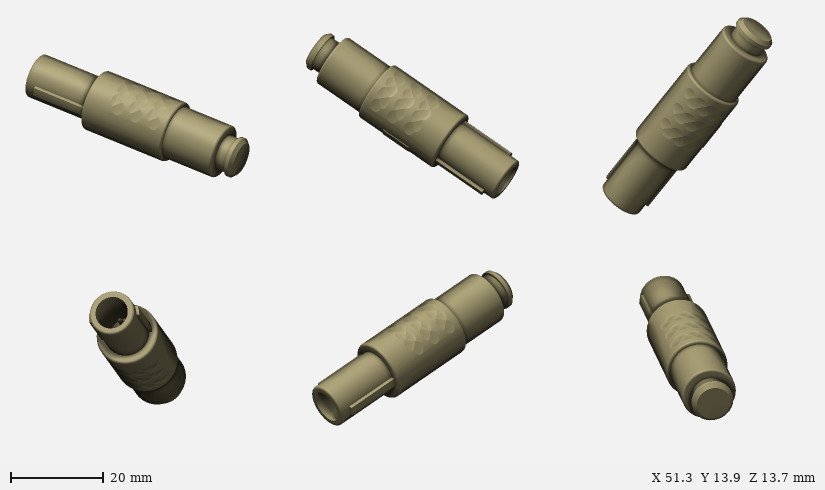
import cadquery as cq

total_length = 51.3
edge_fillet = 0.5

nose_radius = 5.0
nose_length = 15.05
sleeve_diameter = 13.7
sleeve_radius = sleeve_diameter / 2
sleeve_length = 19.95
rear_radius = 6.0
rear_length = 12.0
neck_radius = 3.95
flange_radius = 4.55
flange_width = 1.7
flange_chamfer = 0.8

bore_radius = 3.6
bore_depth = nose_length
pin_radius = 0.5
pin_length = 5.15
pin_count = 5
pin_circle_radius = 1.7

key_start = 2.5
key_width = 2.0
key_radius = 5.6

dimple_radius = 4.65
dimple_depth = 0.175
dimple_pitch_angle = 26.0
dimple_first_x = 22.0
dimple_column_offset = 1.0
dimple_group_pitch = 4.5
dimple_group_count = 3
first_column_count = 3
second_column_count = first_column_count + 1

pad_start = 21.4
pad_length = 6.85
pad_width = 2.7
pad_height = 0.15

sleeve_end = nose_length + sleeve_length
rear_end = sleeve_end + rear_length
flange_start = total_length - flange_width


def cylinder(start, length, radius):
    """Round bar along X."""
    return cq.Workplane("YZ", origin=(start, 0, 0)).circle(radius).extrude(length)


def block(start, length, y_size, z_min, z_max):
    """Box along X that reaches from the axis out to y_size (of either sign)."""
    corner = (start, min(y_size, 0), z_min)
    return cq.Workplane("XY").box(length, abs(y_size), z_max - z_min, centered=False).translate(corner)


def make_body():
    nose = cylinder(0, nose_length, nose_radius).faces("<X").edges().fillet(edge_fillet)
    sleeve = cylinder(nose_length, sleeve_length, sleeve_radius).edges().fillet(edge_fillet)
    rear = cylinder(sleeve_end, rear_length, rear_radius).faces(">X").edges().fillet(edge_fillet)
    neck = cylinder(rear_end, flange_start - rear_end, neck_radius)
    flange = cylinder(flange_start, flange_width, flange_radius).faces(">X").edges().chamfer(flange_chamfer)
    return nose.union(sleeve).union(rear).union(neck).union(flange)


def make_keys():
    """Flat key centred on +Y; key with a round crown on -Y, above the middle plane."""
    length = nose_length - key_start
    flat_key = block(key_start, length, key_radius, -key_width / 2, key_width / 2)
    round_key = block(key_start, length, -key_radius, 0, key_width)
    round_key = round_key.intersect(cylinder(key_start, length, key_radius))
    return flat_key.union(round_key)


def make_pad():
    """Thin pad that follows the sleeve surface."""
    pad_radius = sleeve_radius + pad_height
    pad = block(pad_start, pad_length, pad_radius, -pad_width / 2, pad_width / 2)
    return pad.intersect(cylinder(pad_start, pad_length, pad_radius))


def make_pins():
    """Dome-tipped contact pins that stand on the bore floor, one of them towards +Y."""
    tip_centre_x = bore_depth - pin_length + pin_radius
    places = cq.Workplane("YZ", origin=(tip_centre_x, 0, 0)).polarArray(pin_circle_radius, 0, 360, pin_count)
    shanks = places.circle(pin_radius).extrude(bore_depth - tip_centre_x)
    return shanks.union(places.sphere(pin_radius))


def dimple_cutter(x, angle):
    """Cylinder across the sleeve, turned about X by angle from the +Z direction."""
    axis_height = sleeve_radius - dimple_depth + dimple_radius
    cutter = cq.Workplane("XZ").circle(dimple_radius).extrude(sleeve_radius / 2, both=True)
    cutter = cutter.translate((x, 0, axis_height))
    return cutter.rotate((0, 0, 0), (1, 0, 0), angle)


def cut_dimples(body):
    """Each group has two columns staggered by half a pitch, on both the +Z and -Z sides."""
    for group in range(dimple_group_count):
        first_column_x = dimple_first_x + group * dimple_group_pitch
        second_column_x = first_column_x + dimple_column_offset
        columns = ((first_column_x, first_column_count), (second_column_x, second_column_count))
        for side_angle in (0, 180):
            for column_x, count in columns:
                for index in range(count):
                    angle = (index - (count - 1) / 2) * dimple_pitch_angle
                    body = body.cut(dimple_cutter(column_x, side_angle + angle))
    return body


body = cut_dimples(make_body())
body = body.union(make_keys()).union(make_pad())
result = body.cut(cylinder(0, bore_depth, bore_radius)).union(make_pins())